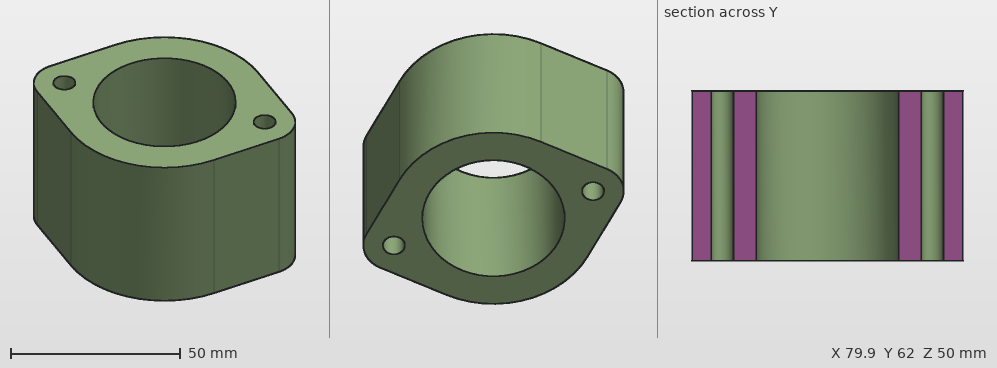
import cadquery as cq
import math

length = 79.9
height = 50.0
body_radius = 31.0
ear_radius = 9.0
bore_diameter = 42.0
bolt_hole_diameter = 6.5

ear_offset = length / 2 - ear_radius

flat_angle = math.acos((body_radius - ear_radius) / ear_offset)
body_x = body_radius * math.cos(flat_angle)
body_y = body_radius * math.sin(flat_angle)
ear_x = ear_offset + ear_radius * math.cos(flat_angle)
ear_y = ear_radius * math.sin(flat_angle)

block = (
    cq.Workplane("XY")
    .moveTo(ear_x, ear_y)
    .lineTo(body_x, body_y)
    .threePointArc((0, body_radius), (-body_x, body_y))
    .lineTo(-ear_x, ear_y)
    .threePointArc((-length / 2, 0), (-ear_x, -ear_y))
    .lineTo(-body_x, -body_y)
    .threePointArc((0, -body_radius), (body_x, -body_y))
    .lineTo(ear_x, -ear_y)
    .threePointArc((length / 2, 0), (ear_x, ear_y))
    .close()
    .extrude(height)
)

bored_block = block.faces(">Z").workplane(origin=(0, 0, height)).hole(bore_diameter)
result = (
    bored_block.faces(">Z")
    .workplane(origin=(0, 0, height))
    .pushPoints([(-ear_offset, 0), (ear_offset, 0)])
    .hole(bolt_hole_diameter)
)